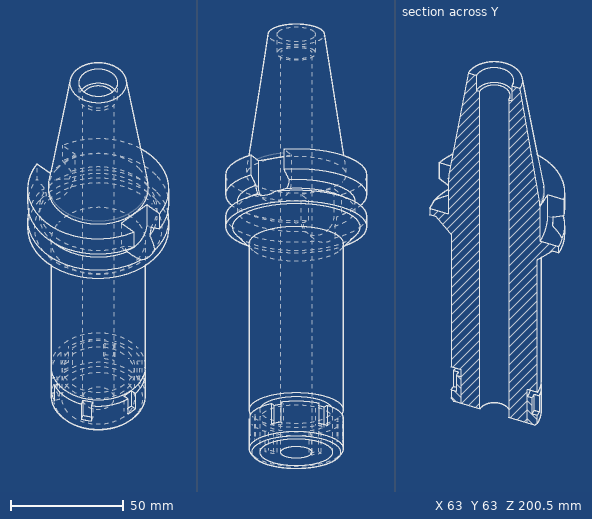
import cadquery as cq


nut_radius = 21.0
nut_height = 16.2
nut_chamfer_height = 1.6
nut_chamfer_width = 1.2
wrench_slot_count = 6
wrench_slot_width = 4.6
wrench_slot_bottom = 6.6
wrench_slot_floor_radius = 18.5

nose_radius = 16.2
body_radius = 21.0
shoulder_radius = 28.5
flange_radius = 31.5
groove_radius = 26.3
gauge_radius = 22.2
tail_radius = 12.6

body_bottom = 20.2
body_top = 100.0
flange_bottom = 108.0
groove_lower_edge = 113.2
groove_floor_bottom = 116.2
groove_floor_top = 120.5
groove_upper_edge = 123.5
flange_top = 133.0
gauge_height = 135.0
tail_height = 200.5

through_bore_radius = 7.0
tail_bore_radius = 8.6
tail_bore_depth = 9.0

keyway_width = 16.2
keyway_floor_x = 22.5
keyway_bottom = 112.0


def make_holder_blank():
    """Revolve the nose, body, grooved flange and taper about Z."""
    profile = [
        (0, 0),
        (nose_radius, 0),
        (nose_radius, body_bottom),
        (body_radius, body_bottom),
        (body_radius, body_top),
        (shoulder_radius, flange_bottom),
        (flange_radius, flange_bottom),
        (flange_radius, groove_lower_edge),
        (groove_radius, groove_floor_bottom),
        (groove_radius, groove_floor_top),
        (flange_radius, groove_upper_edge),
        (flange_radius, flange_top),
        (gauge_radius, flange_top),
        (gauge_radius, gauge_height),
        (tail_radius, tail_height),
        (0, tail_height),
    ]
    return cq.Workplane("XZ").polyline(profile).close().revolve(360, (0, 0, 0), (0, 1, 0))


def make_bores():
    """Through bore along the axis, wider at the tail end."""
    through_bore = cq.Workplane("XY").circle(through_bore_radius).extrude(tail_height)
    tail_bore = (
        cq.Workplane("XY")
        .workplane(offset=tail_height - tail_bore_depth)
        .circle(tail_bore_radius)
        .extrude(tail_bore_depth)
    )
    return through_bore.union(tail_bore)


def make_keyway():
    """Cutter for the +X keyway: open at the flange top, round at the bottom."""
    half_width = keyway_width / 2
    round_center = keyway_bottom + half_width
    return (
        cq.Workplane("YZ")
        .workplane(offset=keyway_floor_x)
        .moveTo(-half_width, flange_top)
        .lineTo(-half_width, round_center)
        .threePointArc((0, keyway_bottom), (half_width, round_center))
        .lineTo(half_width, flange_top)
        .close()
        .extrude(flange_radius - keyway_floor_x)
    )


def make_holder():
    holder = make_holder_blank().cut(make_bores())
    for angle in (0, 180):
        holder = holder.cut(make_keyway().rotate((0, 0, 0), (0, 0, 1), angle))
    return holder


def make_nut():
    """Ring around the nose, with wrench slots open at the top and the side."""
    profile = [
        (nose_radius, 0),
        (nut_radius - nut_chamfer_width, 0),
        (nut_radius, nut_chamfer_height),
        (nut_radius, nut_height),
        (nose_radius, nut_height),
    ]
    nut = cq.Workplane("XZ").polyline(profile).close().revolve(360, (0, 0, 0), (0, 1, 0))
    wrench_slot = cq.Workplane("XY").box(
        nut_radius - wrench_slot_floor_radius,
        wrench_slot_width,
        nut_height - wrench_slot_bottom,
        centered=(False, True, False),
    ).translate((wrench_slot_floor_radius, 0, wrench_slot_bottom))
    for index in range(wrench_slot_count):
        angle = index * 360 / wrench_slot_count
        nut = nut.cut(wrench_slot.rotate((0, 0, 0), (0, 0, 1), angle))
    return nut


holder = make_holder()
nut = make_nut()
result = cq.Compound.makeCompound([holder.val(), nut.val()])